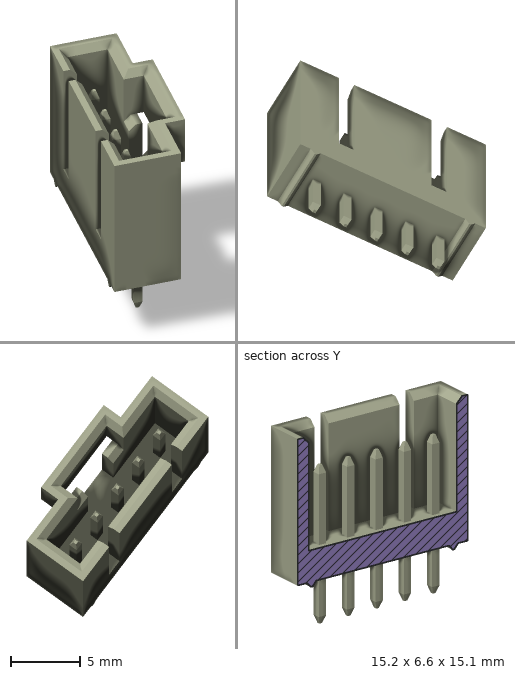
import cadquery as cq

length = 15.24
pin_count = 5
pitch = length / (pin_count + 1)
depth = 2 * pitch
body_height = 11.4
wall = 1.02
lead_in = wall / 2
floor_thickness = 2.51
front_y = -depth / 2
back_y = depth / 2

bay_length = 3 * pitch
bay_projection = 1.52
bay_height = 3.81
bay_back_y = back_y + bay_projection
bay_bottom_z = body_height - bay_height
bay_inner_length = bay_length - 2 * wall

ledge_z = bay_bottom_z
notch_length = 3.08

slot_width = 1.26
slot_offset = 1.5 * pitch

rib_offset = 2.5 * pitch
rib_width = 0.82
rib_tip_width = 0.15
rib_height = 0.4

pin_size = 0.65
pin_tip_size = 0.25
pin_tip_length = 0.62
pin_drop = 3.7
pin_top_z = 8.64


def block(x_size, y_min, y_max, z_min, z_max, x_center=0.0):
    """Box centred on x_center, with explicit Y and Z limits."""
    return (
        cq.Workplane("XY")
        .box(x_size, y_max - y_min, z_max - z_min, centered=(True, False, False))
        .translate((x_center, y_min, z_min))
    )


def frustum(bottom_x, bottom_y, top_x, top_y, z_min, z_max, center=(0.0, 0.0)):
    """Solid tapering between two rectangles that share a vertical axis."""
    return (
        cq.Workplane("XY")
        .workplane(offset=z_min)
        .center(*center)
        .rect(bottom_x, bottom_y)
        .workplane(offset=z_max - z_min)
        .rect(top_x, top_y)
        .loft(combine=True)
    )


def lead_in_cut(x_size, y_min, y_max, top_z):
    """45 degree flare that widens a rectangular opening towards top_z."""
    y_size = y_max - y_min
    return frustum(
        x_size,
        y_size,
        x_size + 2 * lead_in,
        y_size + 2 * lead_in,
        top_z - lead_in,
        top_z,
        (0.0, (y_min + y_max) / 2),
    )


def make_housing():
    main = block(length, front_y, back_y, 0, body_height)
    bay = block(bay_length, back_y, bay_back_y, bay_bottom_z, body_height)
    housing = main.union(bay)

    cavity_length = length - 2 * wall
    cavity_front = front_y + wall
    cavity_back = back_y - wall
    bay_inner_back = bay_back_y - wall

    housing = housing.cut(block(cavity_length, cavity_front, cavity_back, floor_thickness, body_height))
    housing = housing.cut(lead_in_cut(cavity_length, cavity_front, cavity_back, body_height))

    housing = housing.cut(block(bay_inner_length, cavity_back, bay_inner_back, ledge_z, body_height))
    housing = housing.cut(lead_in_cut(bay_inner_length, cavity_front, bay_inner_back, body_height))

    bevel = (
        cq.Workplane("YZ")
        .polyline([(cavity_back, ledge_z), (cavity_back + lead_in, ledge_z), (cavity_back, ledge_z - lead_in)])
        .close()
        .extrude(bay_inner_length / 2, both=True)
    )
    housing = housing.cut(bevel)
    return housing.cut(block(notch_length, cavity_back, back_y, floor_thickness, ledge_z))


def make_slot(x_center):
    return block(slot_width, front_y, front_y + wall, floor_thickness, body_height, x_center)


def make_rib(x_center):
    half_base = rib_width / 2
    half_tip = rib_tip_width / 2
    return (
        cq.Workplane("XZ", origin=(x_center, back_y, 0))
        .polyline([(-half_base, 0), (half_base, 0), (half_tip, -rib_height), (-half_tip, -rib_height)])
        .close()
        .extrude(depth)
    )


def make_pin(x_center):
    shank_bottom = pin_tip_length - pin_drop
    shank_top = pin_top_z - pin_tip_length
    center = (x_center, 0.0)
    shank = block(pin_size, -pin_size / 2, pin_size / 2, shank_bottom, shank_top, x_center)
    lower_tip = frustum(pin_tip_size, pin_tip_size, pin_size, pin_size, -pin_drop, shank_bottom, center)
    upper_tip = frustum(pin_size, pin_size, pin_tip_size, pin_tip_size, shank_top, pin_top_z, center)
    return shank.union(lower_tip).union(upper_tip)


result = make_housing()

for side in (-1, 1):
    result = result.cut(make_slot(side * slot_offset))
    result = result.union(make_rib(side * rib_offset))

for index in range(pin_count):
    result = result.union(make_pin((index - (pin_count - 1) / 2) * pitch))